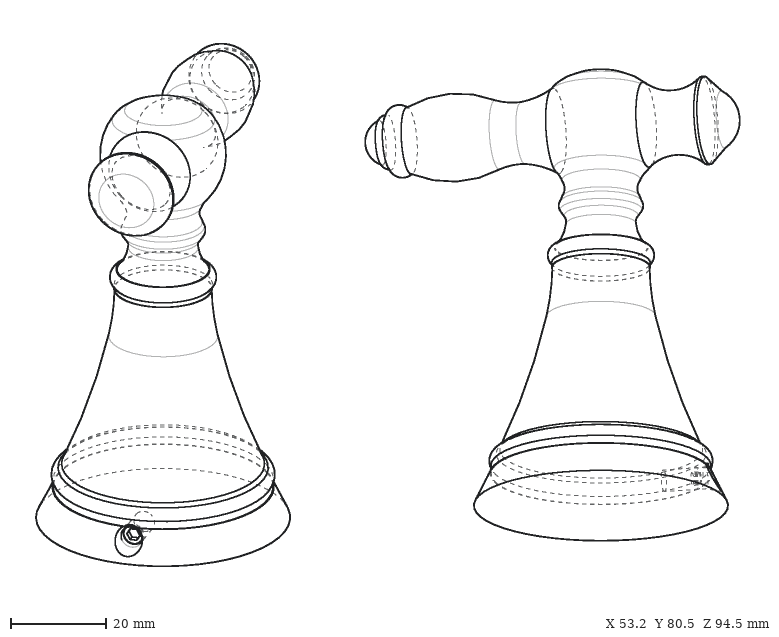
import cadquery as cq
import math

total_height = 94.5
skirt_top = 7.0
bead_bottom = 8.7
bead_bulge = 9.8
bead_top = 11.3
bell_start = 12.2
bell_flare_middle = 26.5
bell_bend = 41.3
bell_throat_middle = 46.3
bell_top = 52.0
collar_bead_bottom = 53.0
collar_bulge = 54.2
collar_top = 56.3

skirt_bottom_radius = 26.6
skirt_top_radius = 23.2
foot_radius = 23.1
bead_radius = 23.4
bead_top_radius = 22.0
bell_bottom_radius = 21.3
bell_flare_middle_radius = 15.6
bell_bend_radius = 11.4
bell_throat_middle_radius = 10.6
bell_top_radius = 10.2

collar_foot_radius = 10.3
collar_radius = 11.15
collar_top_radius = 9.8

neck_bottom_radius = 9.6
neck_flare_middle = 58.6
neck_flare_middle_radius = 8.1
lower_waist_bottom = 61.4
lower_waist_middle = 62.4
lower_waist_top = 63.3
lower_waist_radius = 7.4
lower_waist_top_radius = 7.75
neck_bead_bottom = 64.5
neck_bead_bulge = 65.4
neck_bead_top = 66.1
neck_bead_edge_radius = 8.6
neck_bead_radius = 8.9
upper_waist_bottom = 67.2
upper_waist_middle = 69.2
upper_waist_top = 71.05
upper_waist_edge_radius = 8.2
upper_waist_radius = 7.7
ball_root_middle = 72.4
ball_root_middle_radius = 8.9

lever_height = 82.4
ball_radius = 13.2
dome_height = 92.4
dome_radius = 8.1
ball_upper_height = 90.1
ball_lower_height = 73.6
joint_offset = 9.7
joint_radius = math.sqrt(ball_radius**2 - joint_offset**2)

lever_flare_middle = 13.1
lever_waist = 16.8
lever_swell_middle = 19.6
grip_start = 22.4
grip_bulge = 31.6
grip_end = 41.4
tip_ring_bulge = 43.5
tip_ring_end = 45.7
tip_step_bulge = 46.7
tip_step_end = 47.5
lever_end = 50.7

lever_flare_middle_radius = 7.4
lever_waist_radius = 6.5
lever_swell_middle_radius = 6.6
grip_start_radius = 7.3
grip_radius = 9.3
grip_end_radius = 7.0
tip_ring_radius = 7.7
tip_step_radius = 5.8
tip_step_bulge_radius = 5.6
tip_dome_radius = 4.7

finial_waist = 15.8
finial_rim_start = 22.3
finial_rim_end = 23.0
finial_dome_start = 26.3
finial_end = 29.8

finial_waist_radius = 6.8
finial_rim_radius = 9.3
finial_dome_radius = 6.0

screw_height = 4.5
screw_radius = 2.3
screw_face = 21.1
screw_length = 7.6
screw_chamfer = 0.2
hole_mouth_radius = 3.1
mouth_start = 22.5
mouth_clearance = 0.2
socket_across_flats = 2.5
socket_depth = 1.4


def ball_radius_at(height):
    """Radius of the ball's horizontal section at a height."""
    return math.sqrt(ball_radius**2 - (height - lever_height) ** 2)


def round_cap_middle(radius, start, end):
    """Point halfway along a spherical cap that narrows from a radius to its apex on the axis."""
    rise = abs(end - start)
    cap_radius = (radius**2 + rise**2) / (2 * rise)
    half_angle = math.atan2(rise, radius)
    drop = cap_radius * (1 - math.cos(half_angle))
    return cap_radius * math.sin(half_angle), end - math.copysign(drop, end - start)


def turn_about_stem(outline):
    """Revolve an XZ outline about the Z axis."""
    return outline.close().revolve(360, (0, 0, 0), (0, 1, 0))


def turn_about_lever_axis(outline):
    """Revolve an XY outline about the Y axis and lift it to the lever's height."""
    turned = outline.close().revolve(360, (0, 0, 0), (0, 1, 0))
    return turned.translate((0, 0, lever_height))


def screw_plane(distance):
    """Plane facing -Y, centred on the screw axis at a distance from the stem axis."""
    return cq.Workplane("XZ", origin=(0, -distance, screw_height))


def make_screw_hole():
    """Bore that fits the screw, with a mouth that widens evenly out to the skirt's slope."""
    bore_start = screw_face - screw_length
    bore = screw_plane(bore_start).circle(screw_radius).extrude(mouth_start - bore_start)

    slope = (skirt_bottom_radius - skirt_top_radius) / skirt_top
    mouth_end = skirt_bottom_radius - slope * screw_height + mouth_clearance
    slope_plane = cq.Plane(
        origin=(0, -mouth_end, screw_height), xDir=(1, 0, 0), normal=(0, -1, slope)
    )
    mouth_height = hole_mouth_radius * math.hypot(1, slope)
    inner_rim = screw_plane(mouth_start).circle(screw_radius).val()
    outer_rim = cq.Workplane(slope_plane).ellipse(hole_mouth_radius, mouth_height).val()
    mouth = cq.Solid.makeLoft([inner_rim, outer_rim], True)
    return bore.union(cq.Workplane(obj=mouth))


def make_skirt():
    """Flared base ring."""
    outline = (
        cq.Workplane("XZ")
        .lineTo(skirt_bottom_radius, 0)
        .lineTo(skirt_top_radius, skirt_top)
        .lineTo(0, skirt_top)
    )
    return turn_about_stem(outline).cut(make_screw_hole())


def make_bell():
    """Bell with a straight foot and a bead at its lower end."""
    outline = (
        cq.Workplane("XZ")
        .moveTo(0, skirt_top)
        .lineTo(foot_radius, skirt_top)
        .lineTo(foot_radius, bead_bottom)
        .threePointArc((bead_radius, bead_bulge), (bead_top_radius, bead_top))
        .lineTo(bell_bottom_radius, bell_start)
        .threePointArc((bell_flare_middle_radius, bell_flare_middle), (bell_bend_radius, bell_bend))
        .threePointArc((bell_throat_middle_radius, bell_throat_middle), (bell_top_radius, bell_top))
        .lineTo(0, bell_top)
    )
    return turn_about_stem(outline).cut(make_screw_hole())


def make_collar():
    """Rounded ring between the bell and the hub."""
    outline = (
        cq.Workplane("XZ")
        .moveTo(0, bell_top)
        .lineTo(collar_foot_radius, bell_top)
        .lineTo(collar_foot_radius, collar_bead_bottom)
        .threePointArc((collar_radius, collar_bulge), (collar_top_radius, collar_top))
        .lineTo(0, collar_top)
    )
    return turn_about_stem(outline)


def make_hub():
    """Turned neck and domed ball, with a flat joint on either side of the ball."""
    upper = ball_radius_at(ball_upper_height)
    lower = ball_radius_at(ball_lower_height)
    outline = (
        cq.Workplane("XZ")
        .moveTo(0, collar_top)
        .lineTo(neck_bottom_radius, collar_top)
        .threePointArc(
            (neck_flare_middle_radius, neck_flare_middle), (lower_waist_radius, lower_waist_bottom)
        )
        .threePointArc((lower_waist_radius, lower_waist_middle), (lower_waist_top_radius, lower_waist_top))
        .lineTo(neck_bead_edge_radius, neck_bead_bottom)
        .threePointArc((neck_bead_radius, neck_bead_bulge), (neck_bead_edge_radius, neck_bead_top))
        .lineTo(upper_waist_edge_radius, upper_waist_bottom)
        .threePointArc((upper_waist_radius, upper_waist_middle), (upper_waist_edge_radius, upper_waist_top))
        .threePointArc((ball_root_middle_radius, ball_root_middle), (lower, ball_lower_height))
        .threePointArc((ball_radius, lever_height), (upper, ball_upper_height))
        .tangentArcPoint((dome_radius, dome_height), relative=False)
        .threePointArc(round_cap_middle(dome_radius, dome_height, total_height), (0, total_height))
    )
    joint_slab = cq.Workplane("XY").box(
        2 * skirt_bottom_radius, 2 * joint_offset, total_height, centered=(True, True, False)
    )
    return turn_about_stem(outline).intersect(joint_slab)


def make_lever():
    """Lever with a waist, a swelling grip and a stepped, domed tip."""
    outline = (
        cq.Workplane("XY")
        .moveTo(0, joint_offset)
        .lineTo(joint_radius, joint_offset)
        .threePointArc((lever_flare_middle_radius, lever_flare_middle), (lever_waist_radius, lever_waist))
        .threePointArc((lever_swell_middle_radius, lever_swell_middle), (grip_start_radius, grip_start))
        .threePointArc((grip_radius, grip_bulge), (grip_end_radius, grip_end))
        .threePointArc((tip_ring_radius, tip_ring_bulge), (tip_step_radius, tip_ring_end))
        .threePointArc((tip_step_bulge_radius, tip_step_bulge), (tip_dome_radius, tip_step_end))
        .threePointArc(round_cap_middle(tip_dome_radius, tip_step_end, lever_end), (0, lever_end))
    )
    return turn_about_lever_axis(outline)


def make_finial():
    """Waisted front knob with a conical, domed end."""
    outline = (
        cq.Workplane("XY")
        .moveTo(0, -joint_offset)
        .lineTo(joint_radius, -joint_offset)
        .threePointArc(
            (finial_waist_radius, -finial_waist), (finial_rim_radius, -finial_rim_start)
        )
        .lineTo(finial_rim_radius, -finial_rim_end)
        .lineTo(finial_dome_radius, -finial_dome_start)
        .threePointArc(
            round_cap_middle(finial_dome_radius, -finial_dome_start, -finial_end), (0, -finial_end)
        )
    )
    return turn_about_lever_axis(outline)


def make_set_screw():
    """Headless screw with a hexagon socket."""
    shank = screw_plane(screw_face - screw_length).circle(screw_radius).extrude(screw_length)
    body = shank.faces("<Y").chamfer(screw_chamfer)
    socket_across_corners = socket_across_flats / math.cos(math.pi / 6)
    socket = screw_plane(screw_face - socket_depth).polygon(6, socket_across_corners).extrude(socket_depth)
    return body.cut(socket)


skirt = make_skirt()
bell = make_bell()
collar = make_collar()
hub = make_hub()
lever = make_lever()
finial = make_finial()
set_screw = make_set_screw()

result = cq.Compound.makeCompound(
    [
        skirt.val(),
        bell.val(),
        collar.val(),
        hub.val(),
        lever.val(),
        finial.val(),
        set_screw.val(),
    ]
)